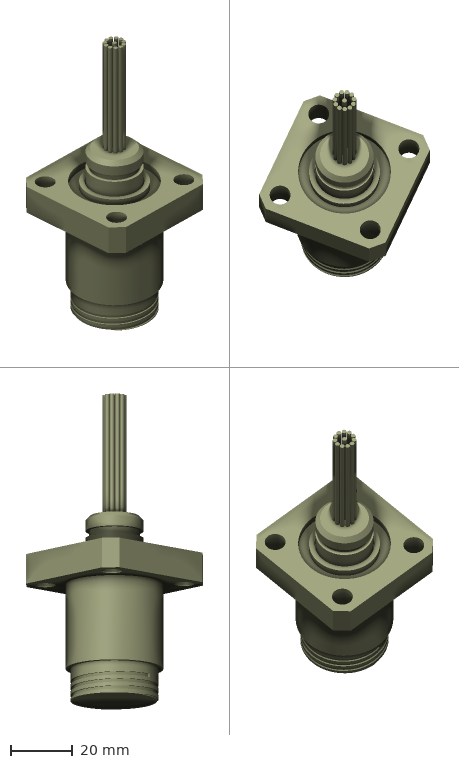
import cadquery as cq
import math

total_height = 100.7
thread_top = 10.6
flange_bottom = 38.4
flange_thickness = 9.8
flange_top = flange_bottom + flange_thickness
neck_top = 60.9

flange_side = 44.4
flange_corner_chamfer = 4.0
hole_spacing = 31.7
hole_diameter = 6.7

recess_diameter = 30.0
recess_depth = 2.5
collar_diameter = 23.0
neck_clearance_diameter = 19.3

barrel_diameter = 31.6
spigot_diameter = 28.6

thread_pitch = 2.3
thread_turns = 3
groove_width = 1.1
groove_depth = 0.5
groove_end_height = 6.6
groove_overshoot = 0.5
runout_angle = 9.5

neck_diameter = 18.8
neck_groove_diameter = 16.4
neck_groove_bottom = 53.6
neck_groove_width = 2.4
neck_chamfer = 1.5

wire_diameter = 1.5
wire_count = 11
wire_ring_diameter = 6.2


def cylinder(diameter, bottom, top):
    """Upright cylinder on the main axis."""
    return cq.Workplane("XY").workplane(offset=bottom).circle(diameter / 2).extrude(top - bottom)


def tube(outer_diameter, inner_diameter, bottom, top):
    """Upright tube on the main axis."""
    return cylinder(outer_diameter, bottom, top).cut(cylinder(inner_diameter, bottom, top))


def make_flange():
    """Square plate with cut corners, four through holes and a ring-shaped recess."""
    recess_floor = flange_top - recess_depth
    flange = (
        cq.Workplane("XY")
        .workplane(offset=flange_bottom)
        .rect(flange_side, flange_side)
        .extrude(flange_thickness)
        .edges("|Z")
        .chamfer(flange_corner_chamfer)
        .faces(">Z")
        .workplane()
        .rect(hole_spacing, hole_spacing, forConstruction=True)
        .vertices()
        .hole(hole_diameter)
    )
    flange = flange.cut(tube(recess_diameter, collar_diameter, recess_floor, flange_top))
    return flange.cut(cylinder(neck_clearance_diameter, recess_floor, flange_top))


def make_thread_groove():
    """Right-handed helical cutter that starts on the -X side and runs out just past it."""
    turns = thread_turns + runout_angle / 360
    start_height = groove_end_height - thread_pitch * thread_turns
    root_radius = spigot_diameter / 2 - groove_depth
    helix = cq.Wire.makeHelix(thread_pitch, thread_pitch * turns, root_radius)
    section = (
        cq.Workplane("XZ")
        .center(root_radius + (groove_depth + groove_overshoot) / 2, 0)
        .rect(groove_depth + groove_overshoot, groove_width)
    )
    cutter = section.sweep(cq.Workplane(obj=helix), isFrenet=True)
    return cutter.rotate((0, 0, 0), (0, 0, 1), 180).translate((0, 0, start_height))


def make_neck():
    """Round neck, rooted in the flange, with a ring groove below its chamfered top."""
    neck = cylinder(neck_diameter, flange_bottom, neck_top).faces(">Z").chamfer(neck_chamfer)
    neck_groove_top = neck_groove_bottom + neck_groove_width
    return neck.cut(tube(neck_diameter, neck_groove_diameter, neck_groove_bottom, neck_groove_top))


def make_wires():
    """Straight wires standing on the neck; the first ring wire lies on the +Y side."""
    ring_radius = wire_ring_diameter / 2
    centres = [(0, 0)]
    for index in range(wire_count):
        angle = math.radians(90) + 2 * math.pi * index / wire_count
        centres.append((ring_radius * math.cos(angle), ring_radius * math.sin(angle)))
    return (
        cq.Workplane("XY")
        .workplane(offset=neck_top)
        .pushPoints(centres)
        .circle(wire_diameter / 2)
        .extrude(total_height - neck_top)
    )


spigot = cylinder(spigot_diameter, 0, thread_top).cut(make_thread_groove())
barrel = cylinder(barrel_diameter, thread_top, flange_bottom)

result = spigot.union(barrel).union(make_flange()).union(make_neck()).union(make_wires())